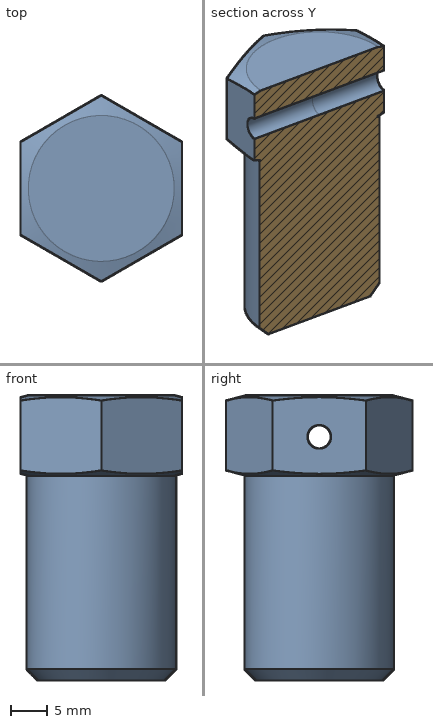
import cadquery as cq
import math

across_flats = 22.225
across_corners = across_flats / math.cos(math.radians(30))
corner_radius = across_corners / 2
head_height = 11.11
crown_angle = math.radians(15)
flat_diameter = 20.08
flat_radius = flat_diameter / 2
corner_drop = (corner_radius - flat_radius) * math.tan(crown_angle)

overall_height = 39.29
shank_diameter = 20.64
shank_length = overall_height - head_height
tip_chamfer = 1.588

cross_hole_diameter = 3.175
cross_hole_depth = 5.74
cross_hole_height = head_height - cross_hole_depth


def make_crown_envelope():
    """Revolved shape whose two equal cones trim the hexagon at the top and the bottom."""
    return (
        cq.Workplane("XZ")
        .moveTo(0, 0)
        .lineTo(flat_radius, 0)
        .lineTo(corner_radius, corner_drop)
        .lineTo(corner_radius, head_height - corner_drop)
        .lineTo(flat_radius, head_height)
        .lineTo(0, head_height)
        .close()
        .revolve(360, (0, 0, 0), (0, 1, 0))
    )


def make_head():
    """Hexagon with flats facing -X and +X and its corners trimmed by the cones."""
    hexagon = (
        cq.Workplane("XY")
        .transformed(rotate=(0, 0, 90))
        .polygon(6, across_corners)
        .extrude(head_height)
    )
    return hexagon.intersect(make_crown_envelope())


def make_shank():
    """Round shank that hangs from the flat under the head and ends in a chamfered tip."""
    return (
        cq.Workplane("XY")
        .circle(shank_diameter / 2)
        .extrude(-shank_length)
        .faces("<Z")
        .chamfer(tip_chamfer)
    )


def make_cross_hole():
    """Drill that passes through two opposite flats of the head."""
    return (
        cq.Workplane("YZ")
        .center(0, cross_hole_height)
        .circle(cross_hole_diameter / 2)
        .extrude(across_flats, both=True)
    )


def make_plug():
    """Head and shank in one piece, drilled across the head."""
    return make_head().union(make_shank()).cut(make_cross_hole())


plug = make_plug()
result = cq.Compound.makeCompound([plug.val()])